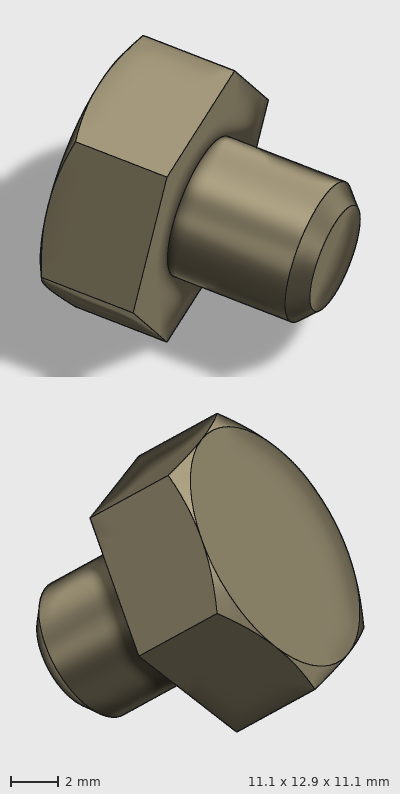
import cadquery as cq
import math

across_corners = 12.85
across_flats = across_corners * math.cos(math.radians(30))
head_height = 4.8
head_chamfer_angle = 30.0

total_length = 11.13
shank_diameter = 6.35
tip_chamfer = 0.78


def revolve_about_x(profile):
    """Revolve an (x, radius) outline about the X axis."""
    outline = cq.Workplane("XY").polyline(profile).close()
    return outline.revolve(360, (0, 0, 0), (1, 0, 0))


def make_head():
    """Hexagonal prism whose outer corners are cut by a cone tangent to the flats at the face."""
    prism = cq.Workplane("YZ").polygon(6, across_corners).extrude(head_height)
    face_radius = across_flats / 2
    corner_radius = across_corners / 2
    chamfer_height = (corner_radius - face_radius) * math.tan(math.radians(head_chamfer_angle))
    envelope = revolve_about_x([
        (0, 0),
        (0, face_radius),
        (chamfer_height, corner_radius),
        (head_height, corner_radius),
        (head_height, 0),
    ])
    return prism.intersect(envelope)


def make_shank():
    """Plain cylinder with a chamfered tip, starting at the underside of the head."""
    radius = shank_diameter / 2
    return revolve_about_x([
        (head_height, 0),
        (head_height, radius),
        (total_length - tip_chamfer, radius),
        (total_length, radius - tip_chamfer),
        (total_length, 0),
    ])


result = make_head().union(make_shank())